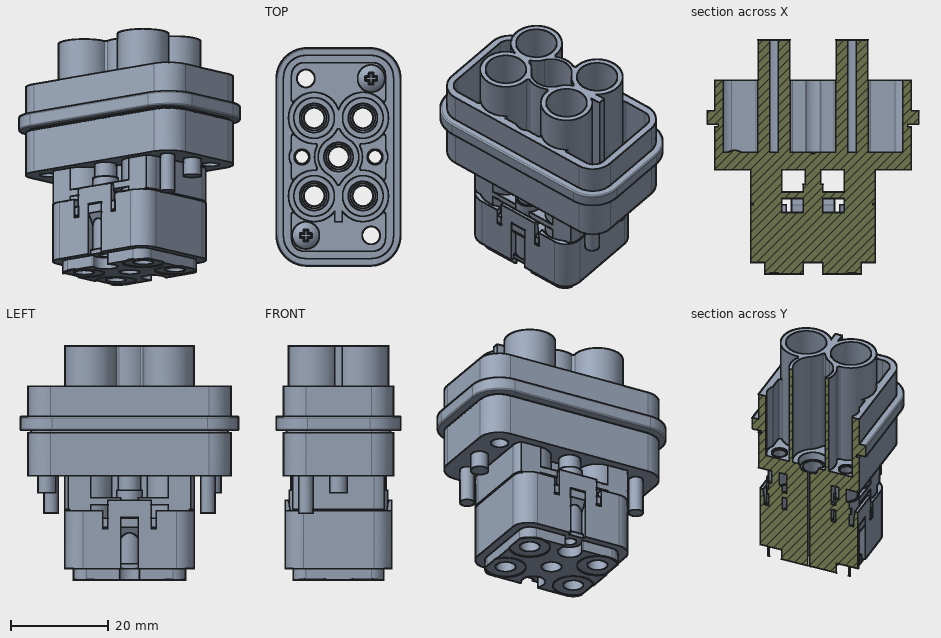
import cadquery as cq
import math

Z_BOTTOM = 0.0
Z_CAP_BOTTOM = 2.35
Z_LIP = 10.85
Z_CAVITY = 12.67
Z_CAP_TOP = 14.25
Z_NECK = 14.5
Z_BAR_BOTTOM = 15.45
Z_TAB_TOP = 16.4
Z_BAR_TOP = 16.85
Z_COLLAR_TOP = 18.45
Z_SHELL_BOTTOM = 21.4
Z_FLOOR = 25.0
Z_GROOVE = 30.25
Z_FLANGE_BOTTOM = 30.7
Z_FLANGE_TOP = 33.6
Z_RIM = 39.8
Z_TOP = 48.05

SHELL_X, SHELL_Y, SHELL_R = 22.6, 41.7, 4.6
FLANGE_X, FLANGE_Y, FLANGE_R = 25.6, 44.8, 6.4
FLANGE_EDGE_R = 0.3
GROOVE_DEPTH = 0.6
POCKET_X, POCKET_Y, POCKET_R = 19.3, 38.7, 2.6
POCKET_EDGE_R = 0.4

TUBE_X, TUBE_Y = 5.0, 8.0
CORNER_TUBES = [(sx * TUBE_X, sy * TUBE_Y) for sx in (-1, 1) for sy in (-1, 1)]
ALL_TUBES = CORNER_TUBES + [(0.0, 0.0)]
TUBE_R = 5.27
CENTER_TUBE_R = 4.93
CAVITY_R = 4.17
POINT_HALF_WIDTH = 2.2
POINT_TIP_R = 0.33
WEB_X, WEB_Y = 1.0, 7.0
SEAT_R = 3.0
SEAT_STEP_R = 2.55
SEAT_DEPTH = 1.5
BORE_R = 2.08
END_RECESS_DEPTH = 0.2
CREASE_R = 0.4
CREASE_Y_MIN, CREASE_Y_MAX = 1.5, 4.0
RIB_WIDTH = 1.55

CAP_X, CAP_Y, CAP_R = 21.9, 26.6, 3.7
NECK_X = 18.84
NECK_GAP_DEPTH = 0.95
PLINTH_X, PLINTH_Y, PLINTH_R = 18.6, 23.0, 2.6
NECK_TUBE_R = 4.4
CAP_RELIEF_R = 5.4
WINDOW_WIDTH = 15.9
WINDOW_FLOOR_X = TUBE_X

POST_X = 7.5
POST_POINTS = [(-POST_X, 0), (POST_X, 0)]
POST_R = 2.26
COLLAR_R = 2.62
POST_HOLE_R = 1.37
POST_HOLE_MOUTH_R = 1.6
POST_HOLE_MOUTH_DEPTH = 0.3
PLINTH_LIP_R = 0.25
PLINTH_GROOVE_R = 2.45

TAB_WIDTH = 8.86
TAB_THICKNESS = 1.03
TAB_TOP_THICKNESS = 0.7
TAB_SLOT_WIDTH = 1.04
LATCH_WINDOW_WIDTH = 3.5
Z_LATCH_WINDOW_TOP = 12.85
Z_LATCH_WINDOW_SILL = 3.3
LIP_X = 10.88
LIP_SLOPE_RUN = 1.46
LIP_SLOPE_DROP = 2.25
Z_SLOT_BOTTOM = 10.5

SCREW_X, SCREW_Y = 6.7, 16.1
SCREW_R = 1.48
SCREW_HEAD_R = 2.8
SCREW_HEAD_HEIGHT = 1.35
Z_SCREW_END = 13.75
CROSS_LENGTH, CROSS_WIDTH, CROSS_DEPTH = 2.0, 0.5, 1.3
CROSS_DRAFT = 15.0
CLEARANCE_R = 1.81
PEG_Y = 17.0
PEG_R = 1.82
Z_PEG_END = 17.9

SELECT_MARGIN = 0.1


def box(x0, x1, y0, y1, z0, z1):
    """Box between two opposite corners."""
    block = cq.Workplane("XY").box(x1 - x0, y1 - y0, z1 - z0, centered=False)
    return block.translate((x0, y0, z0))


def rounded_block(size_x, size_y, radius, z0, z1):
    """Upright block centred on the Z axis with rounded vertical edges."""
    block = cq.Workplane("XY").workplane(offset=z0).rect(size_x, size_y).extrude(z1 - z0)
    return block.edges("|Z").fillet(radius)


def cylinders(points, radius, z0, z1):
    """Equal upright cylinders at the given points, joined."""
    joined = cq.Workplane("XY")
    for point in points:
        base = cq.Workplane("XY").workplane(offset=z0).center(*point)
        joined = joined.add(base.circle(radius).extrude(z1 - z0))
    return joined.combine()


def both_sides(feature):
    """A feature of the -X side together with its mirror image on the +X side."""
    return feature.union(feature.mirror("YZ"))


def upright_zone(x0, x1, reach_y):
    """Selector for what is centred between x0 and x1 and within reach_y of the XZ plane."""
    return cq.selectors.BoxSelector((x0, -reach_y, Z_BOTTOM), (x1, reach_y, Z_TOP))


def edges_on_side_walls(wall_x, reach_y):
    """Selector for edges lying on the two walls at -wall_x and +wall_x."""
    left = upright_zone(-wall_x - SELECT_MARGIN, -wall_x + SELECT_MARGIN, reach_y)
    right = upright_zone(wall_x - SELECT_MARGIN, wall_x + SELECT_MARGIN, reach_y)
    return left + right


def make_tubes():
    """Tubes and keying rib, still solid inside."""
    tubes = cylinders(CORNER_TUBES, TUBE_R, Z_FLOOR, Z_TOP)
    tubes = tubes.union(cylinders([(0, 0)], CENTER_TUBE_R, Z_FLOOR, Z_TOP))
    tubes = tubes.union(box(-WEB_X, WEB_X, -WEB_Y, WEB_Y, Z_FLOOR, Z_TOP))
    for side in (-1, 1):
        crease = cq.selectors.BoxSelector(
            (-TUBE_X, side * CREASE_Y_MIN, Z_BOTTOM), (TUBE_X, side * CREASE_Y_MAX, Z_TOP)
        )
        tubes = tubes.edges("|Z").edges(crease).fillet(CREASE_R)
    rib_end = -(TUBE_Y + TUBE_R)
    return tubes.union(box(-RIB_WIDTH / 2, RIB_WIDTH / 2, rib_end, -TUBE_Y, Z_FLOOR, Z_TOP))


def make_pocket(tubes):
    """Space inside the rim around the tubes, with bulges beside the guide posts."""
    pocket = rounded_block(POCKET_X, POCKET_Y, POCKET_R, Z_FLOOR, Z_RIM)
    pocket = pocket.union(cylinders(POST_POINTS, COLLAR_R, Z_FLOOR, Z_RIM))
    pocket = pocket.cut(tubes)
    reach_y = TUBE_Y + TUBE_R
    return pocket.edges("|Z").edges(edges_on_side_walls(POCKET_X / 2, reach_y)).fillet(POCKET_EDGE_R)


def make_shell():
    """Flanged shell with a groove under the flange and the tubes standing in it."""
    shell = rounded_block(SHELL_X, SHELL_Y, SHELL_R, Z_SHELL_BOTTOM, Z_RIM)
    core_x = SHELL_X - 2 * GROOVE_DEPTH
    core_y = SHELL_Y - 2 * GROOVE_DEPTH
    groove_core = rounded_block(core_x, core_y, SHELL_R - GROOVE_DEPTH, Z_GROOVE, Z_FLANGE_BOTTOM)
    groove = rounded_block(FLANGE_X, FLANGE_Y, FLANGE_R, Z_GROOVE, Z_FLANGE_BOTTOM).cut(groove_core)
    flange = rounded_block(FLANGE_X, FLANGE_Y, FLANGE_R, Z_FLANGE_BOTTOM, Z_FLANGE_TOP)
    flange = flange.faces("<Z or >Z").edges().fillet(FLANGE_EDGE_R)
    tubes = make_tubes()
    return shell.cut(groove).union(flange).cut(make_pocket(tubes)).union(tubes)


def make_latch_tab():
    """Springy tab standing on the -X wall of the cap, thinner towards its top."""
    outer_x = -CAP_X / 2
    profile = [
        (outer_x, Z_CAVITY),
        (outer_x + TAB_THICKNESS, Z_CAVITY),
        (outer_x + TAB_THICKNESS, Z_CAP_TOP),
        (outer_x + TAB_TOP_THICKNESS, Z_TAB_TOP),
        (outer_x, Z_TAB_TOP),
    ]
    return cq.Workplane("XZ").polyline(profile).close().extrude(TAB_WIDTH / 2, both=True)


def make_windows():
    """Openings in the -X side of the neck above and below the bar, leaving tubes and post."""
    half = WINDOW_WIDTH / 2
    upper = box(-NECK_X / 2, -WINDOW_FLOOR_X, -half, half, Z_BAR_TOP, Z_SHELL_BOTTOM)
    lower = box(-NECK_X / 2, -WINDOW_FLOOR_X, -half, half, Z_CAVITY, Z_BAR_BOTTOM)
    kept = cylinders(CORNER_TUBES, NECK_TUBE_R, Z_CAP_BOTTOM, Z_SHELL_BOTTOM)
    return upper.union(lower).cut(kept).cut(make_post())


def make_post():
    """Stepped guide post of the -X side."""
    post = cylinders([(-POST_X, 0)], POST_R, Z_COLLAR_TOP, Z_SHELL_BOTTOM)
    return post.union(cylinders([(-POST_X, 0)], COLLAR_R, Z_CAP_BOTTOM, Z_COLLAR_TOP))


def make_latch_clearance():
    """Slots beside the -X tab, the reliefs and gap behind it and its window; the sloped lip stays."""
    outer_x = -CAP_X / 2
    inner_x = -NECK_X / 2
    half = TAB_WIDTH / 2 + TAB_SLOT_WIDTH
    window_half = LATCH_WINDOW_WIDTH / 2
    clearance = box(outer_x, inner_x, -half, half, Z_CAVITY, Z_CAP_TOP)
    relief_limits = box(outer_x, inner_x, -CAP_Y / 2, CAP_Y / 2, Z_CAVITY, Z_CAP_TOP)
    relief = cylinders(CORNER_TUBES, CAP_RELIEF_R, Z_CAVITY, Z_CAP_TOP).intersect(relief_limits)
    clearance = clearance.union(relief)
    for y0 in (-half, TAB_WIDTH / 2):
        slot = box(outer_x, inner_x, y0, y0 + TAB_SLOT_WIDTH, Z_SLOT_BOTTOM, Z_CAP_TOP)
        clearance = clearance.union(slot)
    window = box(outer_x, inner_x, -window_half, window_half, Z_LATCH_WINDOW_SILL, Z_CAVITY)
    sill_x = -POST_X - COLLAR_R
    sill = box(outer_x, sill_x, -window_half, window_half, Z_CAP_BOTTOM, Z_LATCH_WINDOW_SILL)
    lip_profile = [
        (inner_x, Z_CAVITY),
        (-LIP_X, Z_CAVITY),
        (-LIP_X, Z_LIP),
        (-LIP_X + LIP_SLOPE_RUN, Z_LIP - LIP_SLOPE_DROP),
    ]
    lip = cq.Workplane("XZ").polyline(lip_profile).close().extrude(half, both=True)
    return clearance.union(window).union(sill).cut(lip)


def make_plinth():
    """Foot of the part, with a rounded-lipped groove open on each long side."""
    plinth = rounded_block(PLINTH_X, PLINTH_Y, PLINTH_R, Z_BOTTOM, Z_CAP_BOTTOM)
    plinth = plinth.cut(cylinders(POST_POINTS, PLINTH_GROOVE_R, Z_BOTTOM, Z_CAP_BOTTOM))
    plinth = plinth.edges("|Z").edges(edges_on_side_walls(PLINTH_X / 2, COLLAR_R)).fillet(PLINTH_LIP_R)
    return plinth.cut(cylinders(CORNER_TUBES, CAVITY_R, Z_BOTTOM, END_RECESS_DEPTH))


def make_lower_body():
    """Cap, neck, guide posts, latch tabs and plinth below the shell."""
    cap = rounded_block(CAP_X, CAP_Y, CAP_R, Z_CAP_BOTTOM, Z_CAP_TOP)
    neck = rounded_block(CAP_X, CAP_Y, CAP_R, Z_CAP_TOP, Z_SHELL_BOTTOM)
    neck = neck.intersect(box(-NECK_X / 2, NECK_X / 2, -CAP_Y, CAP_Y, Z_BOTTOM, Z_TOP))
    gap_y = CAP_Y / 2 - NECK_GAP_DEPTH
    for y0 in (-CAP_Y / 2, gap_y):
        neck = neck.cut(box(-CAP_X, CAP_X, y0, y0 + NECK_GAP_DEPTH, Z_CAP_TOP, Z_NECK))
    body = cap.union(neck).cut(both_sides(make_windows())).cut(both_sides(make_latch_clearance()))
    window_half = LATCH_WINDOW_WIDTH / 2
    tab = make_latch_tab().cut(
        box(-CAP_X / 2, -NECK_X / 2, -window_half, window_half, Z_CAVITY, Z_LATCH_WINDOW_TOP)
    )
    body = body.union(both_sides(make_post())).union(both_sides(tab))
    return body.union(make_plinth())


def make_tube_cavities():
    """Open tube insides; the central one runs to a point between the corner tubes."""
    cavities = cylinders(ALL_TUBES, CAVITY_R, Z_FLOOR, Z_TOP)
    points = box(-POINT_HALF_WIDTH, POINT_HALF_WIDTH, -TUBE_Y, TUBE_Y, Z_FLOOR, Z_TOP)
    points = points.cut(cylinders(CORNER_TUBES, TUBE_R, Z_FLOOR, Z_TOP))
    points = points.solids(upright_zone(-TUBE_X, TUBE_X, TUBE_Y / 2))
    points = points.edges("|Z").edges(upright_zone(-WEB_X, WEB_X, TUBE_Y)).fillet(POINT_TIP_R)
    return cavities.union(points)


def make_contact_bores():
    """Tapered seats below the tube floors and bores through to the bottom."""
    z_seat = Z_FLOOR - SEAT_DEPTH
    seat_angle = math.degrees(math.atan2(SEAT_R - SEAT_STEP_R, SEAT_DEPTH))
    seats = cq.Workplane("XY").workplane(offset=z_seat).pushPoints(ALL_TUBES).circle(SEAT_STEP_R)
    seats = seats.extrude(SEAT_DEPTH, taper=-seat_angle)
    return seats.union(cylinders(ALL_TUBES, BORE_R, Z_BOTTOM, Z_FLOOR))


def make_post_holes():
    """Through holes along the guide posts, wider at the shell floor."""
    mouths = cylinders(POST_POINTS, POST_HOLE_MOUTH_R, Z_FLOOR - POST_HOLE_MOUTH_DEPTH, Z_FLOOR)
    return mouths.union(cylinders(POST_POINTS, POST_HOLE_R, Z_BOTTOM, Z_FLOOR))


def make_screw(x, y):
    """Domed cross-recess screw seated on the shell floor."""
    shank = cylinders([(x, y)], SCREW_R, Z_SCREW_END, Z_FLOOR)
    rise = SCREW_HEAD_HEIGHT
    dome_r = (SCREW_HEAD_R**2 + rise**2) / (2 * rise)
    dome = cq.Workplane("XY").sphere(dome_r).translate((x, y, Z_FLOOR + rise - dome_r))
    head = cylinders([(x, y)], SCREW_HEAD_R, Z_FLOOR, Z_FLOOR + rise).intersect(dome)
    cross = cq.Workplane("XY").rect(CROSS_LENGTH, CROSS_WIDTH).extrude(CROSS_DEPTH, taper=-CROSS_DRAFT)
    cross = cross.union(cross.rotate((0, 0, 0), (0, 0, 1), 90))
    return shank.union(head.cut(cross.translate((x, y, Z_FLOOR + rise - CROSS_DEPTH))))


part = make_shell().union(make_lower_body())
part = part.union(cylinders([(0, -PEG_Y), (0, PEG_Y)], PEG_R, Z_PEG_END, Z_SHELL_BOTTOM))
part = part.cut(make_tube_cavities()).cut(make_contact_bores()).cut(make_post_holes())
clearance_points = [(-SCREW_X, SCREW_Y), (SCREW_X, -SCREW_Y)]
part = part.cut(cylinders(clearance_points, CLEARANCE_R, Z_SHELL_BOTTOM, Z_FLOOR))
for side in (-1, 1):
    part = part.union(make_screw(side * SCREW_X, side * SCREW_Y))

result = part